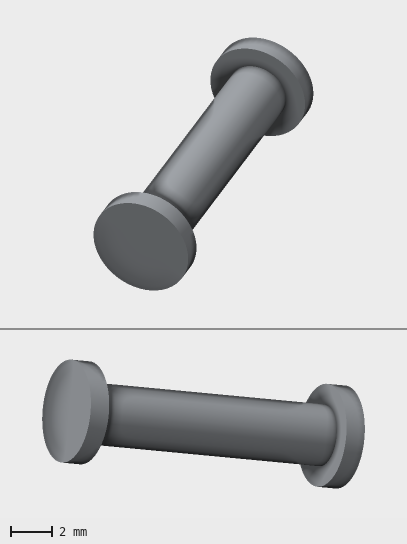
import cadquery as cq

total_length = 15.0
head_diameter = total_length / 3
head_thickness = total_length / 15
shaft_diameter = 3.0


def disc(diameter, start_y, length):
    """Solid cylinder along +Y, starting at start_y."""
    return cq.Workplane("XZ", origin=(0, start_y, 0)).circle(diameter / 2).extrude(-length)


result = disc(shaft_diameter, -total_length / 2, total_length)

for head_start in (-total_length / 2, total_length / 2 - head_thickness):
    result = result.union(disc(head_diameter, head_start, head_thickness))

result = result.clean()